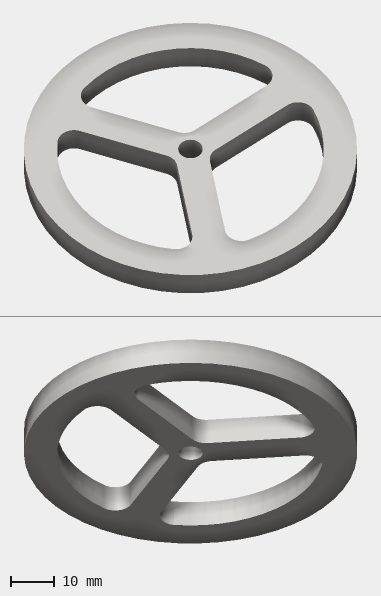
import cadquery as cq

wheel_diameter = 76.2
thickness = 6.35
rim_width = 7.62
spoke_width = 7.62
spoke_count = 3
bore_diameter = 5.6
window_fillet = 3.81

wheel_radius = wheel_diameter / 2
window_radius = wheel_radius - rim_width
spoke_pitch = 360 / spoke_count


def make_spokes():
    """Bars running from the wheel axis out to the rim, the first along +Y."""
    spoke = cq.Workplane("XY").box(
        spoke_width, wheel_radius, thickness, centered=(True, False, False)
    )
    spokes = spoke
    for index in range(1, spoke_count):
        spokes = spokes.union(spoke.rotate((0, 0, 0), (0, 0, 1), index * spoke_pitch))
    return spokes


def make_windows():
    """Round-cornered openings left between the spokes, inside the rim."""
    opening = cq.Workplane("XY").circle(window_radius).extrude(thickness)
    return opening.cut(make_spokes()).edges("|Z").fillet(window_fillet)


def make_wheel():
    """Flat disc with a central bore and one window between each pair of spokes."""
    disc = cq.Workplane("XY").circle(wheel_radius).extrude(thickness)
    bore = cq.Workplane("XY").circle(bore_diameter / 2).extrude(thickness)
    return disc.cut(make_windows()).cut(bore)


result = make_wheel()